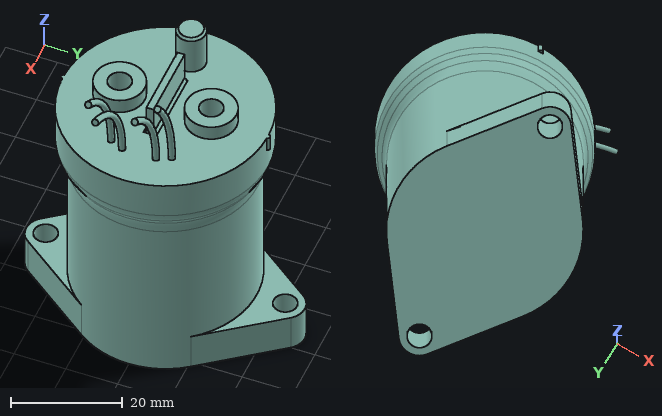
import cadquery as cq
import math

body_radius = 17.6
cover_radius = 19.8
cover_top = 49.5
flare_top = 41.9
flare_angle = math.radians(30)
flare_upper_bend = 3.75
flare_lower_bend = 6.1

lug_height = 7.75
lug_offset = 23.15
lug_radius = 3.75
lug_hole_radius = 2.2

key_reach = 20.2
key_radius = 0.5
key_height = 3.1

terminal_offset = 8.85
terminal_radius = 4.8
terminal_height = 3.1
terminal_hole_radius = 2.2
terminal_hole_depth = 6.0

post_x = -12.3
post_radius = 2.8
post_height = 8.35
post_chamfer = 0.5

fin_length = 14.8
fin_thickness = 1.4
fin_height = 6.55
fin_foot = 0.55

wire_radius = 0.6
outer_wire_x = 11.4
inner_wire_x = 12.6
outer_wire_y = 5.85
inner_wire_y = 3.3
wires = [
    (outer_wire_x, outer_wire_y, 18.25, 68.6),
    (inner_wire_x, inner_wire_y, 22.7, 68.6),
    (inner_wire_x, -inner_wire_y, 25.45, 68.5),
    (outer_wire_x, -outer_wire_y, 22.4, 69.15),
]
wire_embed = 0.7


def make_housing():
    """Revolve the outline: straight can, concave bend, cone, convex bend, straight cover."""
    sine, cosine, tangent = math.sin(flare_angle), math.cos(flare_angle), math.tan(flare_angle)
    half_sine, half_cosine = math.sin(flare_angle / 2), math.cos(flare_angle / 2)

    upper_r = cover_radius - flare_upper_bend * (1 - cosine)
    upper_z = flare_top - flare_upper_bend * sine
    upper_mid = (
        cover_radius - flare_upper_bend * (1 - half_cosine),
        flare_top - flare_upper_bend * half_sine,
    )
    lower_r = body_radius + flare_lower_bend * (1 - cosine)
    lower_z = upper_z - (upper_r - lower_r) / tangent
    flare_bottom = lower_z - flare_lower_bend * sine
    lower_mid = (
        body_radius + flare_lower_bend * (1 - half_cosine),
        flare_bottom + flare_lower_bend * half_sine,
    )
    return (
        cq.Workplane("XZ")
        .lineTo(body_radius, 0)
        .lineTo(body_radius, flare_bottom)
        .threePointArc(lower_mid, (lower_r, lower_z))
        .lineTo(upper_r, upper_z)
        .threePointArc(upper_mid, (cover_radius, flare_top))
        .lineTo(cover_radius, cover_top)
        .lineTo(0, cover_top)
        .close()
        .revolve(360, (0, 0), (0, 1))
    )


def make_lug(side):
    """Lug on the +Y (side = 1) or -Y (side = -1) flank, bounded by lines tangent to can and lug end."""
    normal_y = (body_radius - lug_radius) / lug_offset
    normal_x = math.sqrt(1 - normal_y**2)
    root_x, root_y = body_radius * normal_x, side * body_radius * normal_y
    tip_x, tip_y = lug_radius * normal_x, side * (lug_offset + lug_radius * normal_y)
    return (
        cq.Workplane("XY")
        .moveTo(-root_x, 0)
        .lineTo(-root_x, root_y)
        .lineTo(-tip_x, tip_y)
        .threePointArc((0, side * (lug_offset + lug_radius)), (tip_x, tip_y))
        .lineTo(root_x, root_y)
        .lineTo(root_x, 0)
        .close()
        .extrude(lug_height)
    )


def make_key(side):
    """Rounded upright rib on the cover rim, flush with the cover top."""
    return (
        cq.Workplane("XY", origin=(0, 0, cover_top - key_height))
        .center(0, side * (key_reach - key_radius))
        .circle(key_radius)
        .extrude(key_height)
    )


def make_post():
    return (
        cq.Workplane("XY", origin=(post_x, 0, cover_top))
        .circle(post_radius)
        .extrude(post_height)
        .faces(">Z")
        .chamfer(post_chamfer)
    )


def make_fin():
    half_thickness = fin_thickness / 2
    half_foot = half_thickness + fin_foot
    return (
        cq.Workplane("YZ", origin=(0, 0, cover_top))
        .polyline([
            (-half_foot, 0),
            (-half_thickness, fin_foot),
            (-half_thickness, fin_height),
            (half_thickness, fin_height),
            (half_thickness, fin_foot),
            (half_foot, 0),
        ])
        .close()
        .extrude(fin_length / 2, both=True)
    )


def make_wire(start_x, y, end_x, end_z):
    """Round wire along a short straight root inside the cover and an arc above it."""
    root_z = cover_top - wire_embed
    path = (
        cq.Workplane("XZ", origin=(0, y, 0))
        .moveTo(start_x, root_z)
        .lineTo(start_x, cover_top)
        .tangentArcPoint((end_x, end_z), relative=False)
    )
    return cq.Workplane("XY", origin=(start_x, y, root_z)).circle(wire_radius).sweep(path)


lug_centers = [(0, lug_offset), (0, -lug_offset)]
terminal_centers = [(0, terminal_offset), (0, -terminal_offset)]
terminal_top = cover_top + terminal_height

result = make_housing()
for side in (1, -1):
    result = result.union(make_lug(side)).union(make_key(side))

terminals = (
    cq.Workplane("XY", origin=(0, 0, cover_top))
    .pushPoints(terminal_centers)
    .circle(terminal_radius)
    .extrude(terminal_height)
)
result = result.union(terminals).union(make_post()).union(make_fin())

for wire in wires:
    result = result.union(make_wire(*wire))

lug_holes = cq.Workplane("XY").pushPoints(lug_centers).circle(lug_hole_radius).extrude(lug_height)
terminal_holes = (
    cq.Workplane("XY", origin=(0, 0, terminal_top))
    .pushPoints(terminal_centers)
    .circle(terminal_hole_radius)
    .extrude(-terminal_hole_depth)
)
result = result.cut(lug_holes).cut(terminal_holes)